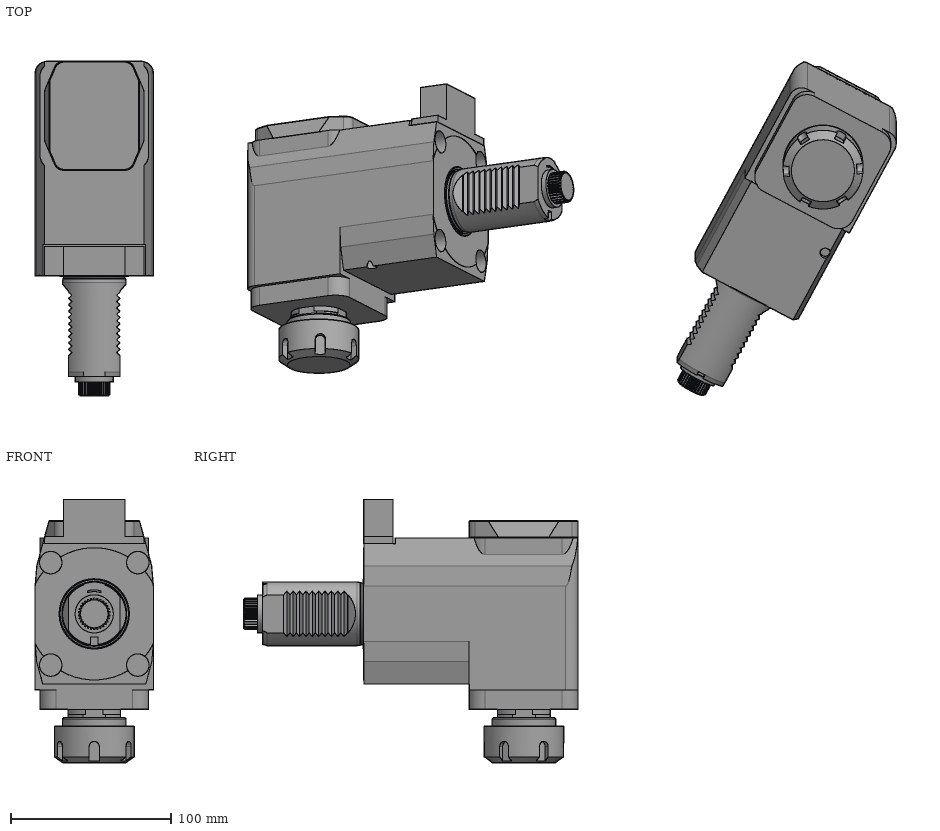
import cadquery as cq
import math


HALF_WIDTH = 37.0
LENGTH = 134.0
TOP_Z = 47.5
REAR_BOTTOM_Z = -47.5
FRONT_BOTTOM_Z = -43.9
STEEP_START = 17.3
SHALLOW_START = 29.9
STEEP_LEAN = math.tan(math.radians(5))
SHALLOW_LEAN = math.tan(math.radians(15))
BACK_RADIUS = 8.0
FACE_DISC_DIAMETER = 82.5
FACE_RELIEF = 0.2

COLUMN_WIDTH = 68.0
COLUMN_LENGTH = 68.1
COLUMN_RADIUS = 10.0
COLUMN_BOTTOM_Z = -59.5
REAR_START_Y = LENGTH - COLUMN_LENGTH
SPINDLE_Y = 100.1

CAP_HEIGHT = 10.9
CAP_HALF_WIDTH = 31.1
CAP_END_HALF_WIDTH = 23.2
CAP_HALF_STRAIGHT = 15.5
CAP_RADIUS = 6.3
CAP_EDGE = 0.6

FACE_HOLE_DIAMETER = 14.0
FACE_HOLE_X = 27.2
FACE_HOLE_Z = 32.0
FACE_HOLE_DEPTH = 16.7
BOTTOM_HOLE_DIAMETER = 6.3
BOTTOM_HOLE_X = -29.9
BOTTOM_HOLE_Y = 47.0
BOTTOM_HOLE_DEPTH = 6.3

SEAT_DEPTH = 19.6
SEAT_Z = 43.9
KEY_DEPTH = 18.4
KEY_HALF_WIDTH = 31.0
KEY_LEDGE_Z = 48.3
KEY_BLOCK_WIDTH = 38.7
KEY_TOP_Z = 71.5

SHANK_RADIUS = 40.0 / 2
SHANK_LENGTH = 63.0
NECK_RADIUS = 38.7 / 2
NECK_LENGTH = 1.5
NECK_STEP_RADIUS = 19.6
NECK_STEP_END = 2.0
NECK_CONE_END = 4.2
COLLAR_RADIUS = 22.0
COLLAR_TOP_RADIUS = 21.3
COLLAR_INNER_RADIUS = 20.3
COLLAR_HEIGHT = 0.5
FLAT_X = 16.0
FLAT_START = 9.6
RUNOUT_START = 5.0
TOOTH_PITCH = 4.0
TOOTH_DEPTH = TOOTH_PITCH / 2
FIRST_GROOVE = 12.1
GROOVE_COUNT = 10
END_BEVEL_LENGTH = 2.7
END_BEVEL_RADIUS = 19.2
END_LAND_WIDTH = 13.4
END_SLOT_WIDTH = 4.4
END_SLOT_Z = -14.5
END_SLOT_DEPTH = 2.7
END_ARC_RADIUS = 14.5
END_ARC_WIDTH = 1.0
END_ARC_HALF_ANGLE = 17
END_ARC_DEPTH = 1.0

DRIVE_COLLAR_RADIUS = 23.8 / 2
DRIVE_COLLAR_LENGTH = 3.3
SPLINE_END = 75.0
SPLINE_TIP_RADIUS = 9.8
SPLINE_ROOT_RADIUS = 8.5
SPLINE_BEVEL = 1.0
SPLINE_COUNT = 30

SPINDLE_NECK_RADIUS = 17.3
SPINDLE_SHOULDER_RADIUS = 18.0
SPINDLE_FLAT_DISTANCE = 16.5
SPINDLE_FLAT_BOTTOM_Z = -64.5
SHOULDER_TOP_Z = -63.0
FLANGE_RADIUS = 40.0 / 2
FLANGE_TOP_Z = -64.5
FLANGE_BEVEL = 1.0
NUT_RADIUS = 50.0 / 2
NUT_TOP_Z = -70.0
NUT_TOP_BEVEL = 0.5
NUT_BEVEL_Z = -89.2
NUT_BOTTOM_Z = -93.0
NUT_BOTTOM_RADIUS = 19.6
NUT_SLOT_COUNT = 6
NUT_SLOT_WIDTH = 6.3
NUT_SLOT_TOP_Z = -79.6
NUT_SLOT_FLOOR = 21.1

CUT_MARGIN = 4.2


def box(x0, x1, y0, y1, z0, z1):
    return cq.Workplane("XY").box(x1 - x0, y1 - y0, z1 - z0, centered=False).translate((x0, y0, z0))


def along_y(sketch_z_y, y0, y1):
    """Extrude a closed outline in X and Z from y0 to y1."""
    return cq.Workplane("XZ", origin=(0, y0, 0)).polyline(sketch_z_y).close().extrude(y0 - y1)


def rod(radius, y0, y1, x=0, z=0):
    return cq.Workplane("XZ", origin=(0, y0, 0)).center(x, z).circle(radius).extrude(y0 - y1)


def turned_about_y(points):
    """Revolve an outline of (radius, y) points about the shank axis."""
    return cq.Workplane("XY").polyline(points).close().revolve(360, (0, 0, 0), (0, 1, 0))


def side_x(distance):
    """Half width of the leaning housing sides at a distance above or below the axis."""
    shallow_x = HALF_WIDTH - STEEP_LEAN * (SHALLOW_START - STEEP_START)
    return shallow_x - SHALLOW_LEAN * (distance - SHALLOW_START)


def leaning_side(end_z):
    """Points of the right-hand side from full width to the end plane."""
    sign = math.copysign(1, end_z)
    return [
        (HALF_WIDTH, sign * STEEP_START),
        (side_x(SHALLOW_START), sign * SHALLOW_START),
        (side_x(abs(end_z)), end_z),
    ]


def mirrored_outline(right_side):
    return right_side + [(-x, z) for x, z in reversed(right_side)]


def make_housing_block():
    upper = leaning_side(TOP_Z)
    lower = leaning_side(FRONT_BOTTOM_Z)
    front = along_y(mirrored_outline(lower[::-1] + upper), 0, REAR_START_Y)
    rear = along_y(mirrored_outline([(HALF_WIDTH, REAR_BOTTOM_Z)] + upper), REAR_START_Y, LENGTH)
    height = TOP_Z - REAR_BOTTOM_Z
    rounded_back = (
        box(-HALF_WIDTH, HALF_WIDTH, REAR_START_Y, LENGTH, REAR_BOTTOM_Z, REAR_BOTTOM_Z + height)
        .edges("|Z and >Y").fillet(BACK_RADIUS)
    )
    column = (
        box(-COLUMN_WIDTH / 2, COLUMN_WIDTH / 2, REAR_START_Y, LENGTH, COLUMN_BOTTOM_Z, TOP_Z)
        .edges("|Z").fillet(COLUMN_RADIUS)
    )
    return front.union(rear.intersect(rounded_back)).union(column)


def make_cap():
    half_length = COLUMN_LENGTH / 2
    quarter = [(CAP_END_HALF_WIDTH, half_length), (CAP_HALF_WIDTH, CAP_HALF_STRAIGHT)]
    right_side = quarter + [(x, -y) for x, y in reversed(quarter)]
    center = (0, LENGTH - half_length, TOP_Z)
    plate = (
        cq.Workplane("XY", origin=center).polyline(mirrored_outline(right_side)).close().extrude(CAP_HEIGHT)
        .edges("|Z and (>Y or <Y)").fillet(CAP_RADIUS)
    )
    top_half_width = CAP_HALF_WIDTH - SHALLOW_LEAN * CAP_HEIGHT
    sloped = along_y(
        mirrored_outline([(CAP_HALF_WIDTH, TOP_Z), (top_half_width, TOP_Z + CAP_HEIGHT)]),
        REAR_START_Y - CUT_MARGIN, LENGTH + CUT_MARGIN,
    )
    return plate.intersect(sloped).faces(">Z or <Z").edges().chamfer(CAP_EDGE)


def make_face_relief():
    """Thin cut that leaves a round pad on the front face."""
    reach = HALF_WIDTH + CUT_MARGIN
    sheet = box(-reach, reach, 0, FACE_RELIEF, FRONT_BOTTOM_Z - CUT_MARGIN, SEAT_Z)
    return sheet.cut(rod(FACE_DISC_DIAMETER / 2, 0, FACE_RELIEF))


def make_serration_cut():
    """Flat with V grooves on the +X side of the shank."""
    outer = SHANK_RADIUS + CUT_MARGIN
    runout_slope = (FLAT_START - RUNOUT_START) / (SHANK_RADIUS - FLAT_X)
    points = [(outer, -RUNOUT_START + CUT_MARGIN * runout_slope), (FLAT_X, -FLAT_START)]
    for index in range(GROOVE_COUNT):
        groove_y = -FIRST_GROOVE - index * TOOTH_PITCH
        points += [(FLAT_X, groove_y + TOOTH_PITCH / 2), (FLAT_X - TOOTH_DEPTH, groove_y)]
    points += [
        (FLAT_X, points[-1][1] - TOOTH_PITCH / 2),
        (FLAT_X, -SHANK_LENGTH - CUT_MARGIN),
        (outer, -SHANK_LENGTH - CUT_MARGIN),
    ]
    return cq.Workplane("XY").polyline(points).close().extrude(SHANK_RADIUS, both=True)


def make_end_bevel_cut():
    bevel_y = END_BEVEL_LENGTH - SHANK_LENGTH
    ring = turned_about_y([
        (SHANK_RADIUS, bevel_y),
        (SHANK_RADIUS + CUT_MARGIN, bevel_y),
        (SHANK_RADIUS + CUT_MARGIN, -SHANK_LENGTH),
        (END_BEVEL_RADIUS, -SHANK_LENGTH),
    ])
    land = box(-END_LAND_WIDTH / 2, END_LAND_WIDTH / 2, -SHANK_LENGTH, bevel_y, 0, SHANK_RADIUS + CUT_MARGIN)
    return ring.cut(land)


def make_end_arc_cut():
    """Curved slot in the shank's end face, above the drive shaft."""
    inner = END_ARC_RADIUS - END_ARC_WIDTH / 2
    outer = END_ARC_RADIUS + END_ARC_WIDTH / 2
    tilt = math.radians(END_ARC_HALF_ANGLE)
    sin, cos = math.sin(tilt), math.cos(tilt)
    return (
        cq.Workplane("XZ", origin=(0, END_ARC_DEPTH - SHANK_LENGTH, 0))
        .moveTo(-inner * sin, inner * cos)
        .threePointArc((0, inner), (inner * sin, inner * cos))
        .lineTo(outer * sin, outer * cos)
        .threePointArc((0, outer), (-outer * sin, outer * cos))
        .close()
        .extrude(END_ARC_DEPTH)
    )


def make_shank():
    shank = turned_about_y([
        (0, 0),
        (COLLAR_RADIUS, 0),
        (COLLAR_TOP_RADIUS, -COLLAR_HEIGHT),
        (COLLAR_INNER_RADIUS, -COLLAR_HEIGHT),
        (COLLAR_INNER_RADIUS, 0),
        (NECK_RADIUS, 0),
        (NECK_RADIUS, -NECK_LENGTH),
        (NECK_STEP_RADIUS, -NECK_STEP_END),
        (SHANK_RADIUS, -NECK_CONE_END),
        (SHANK_RADIUS, -SHANK_LENGTH),
        (0, -SHANK_LENGTH),
    ])
    serration = make_serration_cut()
    end_slot = box(
        -END_SLOT_WIDTH / 2, END_SLOT_WIDTH / 2,
        -SHANK_LENGTH, END_SLOT_DEPTH - SHANK_LENGTH,
        -SHANK_RADIUS - CUT_MARGIN, END_SLOT_Z,
    )
    shank = shank.cut(serration).cut(serration.mirror("YZ"))
    return shank.cut(make_end_bevel_cut()).cut(end_slot).cut(make_end_arc_cut())


def make_housing():
    housing = make_housing_block().union(make_cap()).cut(make_face_relief())
    for x in (-FACE_HOLE_X, FACE_HOLE_X):
        for z in (-FACE_HOLE_Z, FACE_HOLE_Z):
            housing = housing.cut(rod(FACE_HOLE_DIAMETER / 2, 0, FACE_HOLE_DEPTH, x, z))
    bottom_hole = (
        cq.Workplane("XY", origin=(BOTTOM_HOLE_X, BOTTOM_HOLE_Y, FRONT_BOTTOM_Z))
        .circle(BOTTOM_HOLE_DIAMETER / 2).extrude(BOTTOM_HOLE_DEPTH)
    )
    key_seat = box(-HALF_WIDTH, HALF_WIDTH, 0, SEAT_DEPTH, SEAT_Z, TOP_Z)
    return housing.cut(bottom_hole).cut(key_seat).union(make_shank())


def make_key():
    ledge = box(-KEY_HALF_WIDTH, KEY_HALF_WIDTH, 0, KEY_DEPTH, SEAT_Z, KEY_LEDGE_Z)
    block = box(-KEY_BLOCK_WIDTH / 2, KEY_BLOCK_WIDTH / 2, 0, KEY_DEPTH, SEAT_Z, KEY_TOP_Z)
    return ledge.union(block)


def make_drive_shaft():
    spline_start = SHANK_LENGTH + DRIVE_COLLAR_LENGTH
    tooth_angle = 2 * math.pi / SPLINE_COUNT
    points = []
    for index in range(SPLINE_COUNT):
        for fraction, radius in (
            (-0.4, SPLINE_ROOT_RADIUS),
            (-0.15, SPLINE_TIP_RADIUS),
            (0.15, SPLINE_TIP_RADIUS),
            (0.4, SPLINE_ROOT_RADIUS),
        ):
            angle = (index + fraction) * tooth_angle
            points.append((radius * math.sin(angle), radius * math.cos(angle)))
    spline = along_y(points, -SPLINE_END, -spline_start)
    envelope = rod(SPLINE_TIP_RADIUS, -SPLINE_END, -spline_start).faces("<Y").chamfer(SPLINE_BEVEL)
    collar = rod(DRIVE_COLLAR_RADIUS, -spline_start, -SHANK_LENGTH)
    return collar.union(spline.intersect(envelope))


def make_spindle():
    profile = [
        (0, COLUMN_BOTTOM_Z),
        (SPINDLE_NECK_RADIUS, COLUMN_BOTTOM_Z),
        (SPINDLE_NECK_RADIUS, SHOULDER_TOP_Z),
        (SPINDLE_SHOULDER_RADIUS, SHOULDER_TOP_Z),
        (SPINDLE_SHOULDER_RADIUS, FLANGE_TOP_Z),
        (FLANGE_RADIUS - FLANGE_BEVEL, FLANGE_TOP_Z),
        (FLANGE_RADIUS, FLANGE_TOP_Z - FLANGE_BEVEL),
        (FLANGE_RADIUS, NUT_TOP_Z),
        (NUT_RADIUS - NUT_TOP_BEVEL, NUT_TOP_Z),
        (NUT_RADIUS, NUT_TOP_Z - NUT_TOP_BEVEL),
        (NUT_RADIUS, NUT_BEVEL_Z),
        (NUT_BOTTOM_RADIUS, NUT_BOTTOM_Z),
        (0, NUT_BOTTOM_Z),
    ]
    spindle = cq.Workplane("XZ").polyline(profile).close().revolve(360, (0, 0, 0), (0, 1, 0))

    flat = box(
        SPINDLE_FLAT_DISTANCE, SPINDLE_FLAT_DISTANCE + CUT_MARGIN,
        -SPINDLE_NECK_RADIUS, SPINDLE_NECK_RADIUS,
        SPINDLE_FLAT_BOTTOM_Z, COLUMN_BOTTOM_Z,
    )
    for angle in (0, 90, 180, 270):
        spindle = spindle.cut(flat.rotate((0, 0, 0), (0, 0, 1), angle))

    arch_z = NUT_SLOT_TOP_Z - NUT_SLOT_WIDTH / 2
    slot_start = -NUT_RADIUS - CUT_MARGIN
    slot = rod(NUT_SLOT_WIDTH / 2, slot_start, -NUT_SLOT_FLOOR, 0, arch_z).union(
        box(-NUT_SLOT_WIDTH / 2, NUT_SLOT_WIDTH / 2, slot_start, -NUT_SLOT_FLOOR, NUT_BOTTOM_Z, arch_z)
    )
    for index in range(NUT_SLOT_COUNT):
        spindle = spindle.cut(slot.rotate((0, 0, 0), (0, 0, 1), index * 360 / NUT_SLOT_COUNT))
    return spindle.translate((0, SPINDLE_Y, 0))


housing = make_housing()
key = make_key()
drive_shaft = make_drive_shaft()
spindle = make_spindle()

result = cq.Compound.makeCompound([housing.val(), key.val(), drive_shaft.val(), spindle.val()])